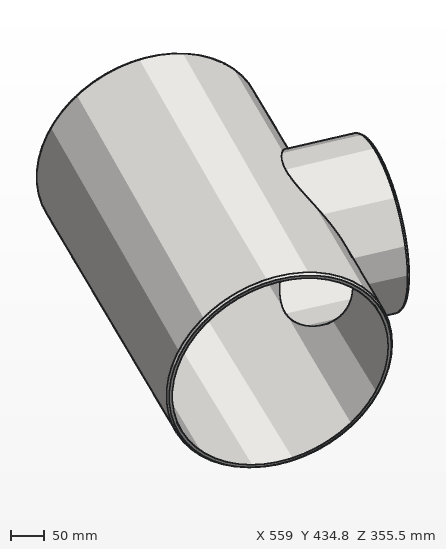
import cadquery as cq

run_length = 559.0
run_diameter = 355.5
run_wall = 8.0

branch_diameter = 273.0
branch_wall = 8.0
branch_reach = 257.0

bevel_length = 4.0
bevel_depth = 3.0


def bevelled_cylinder(start_plane, diameter, length, bevelled_faces):
    """Solid cylinder with a bevel around the rims of the chosen end faces."""
    cylinder = cq.Workplane(start_plane).circle(diameter / 2).extrude(length)
    return cylinder.faces(bevelled_faces).chamfer(bevel_length, bevel_depth)


run_start = cq.Plane(origin=(-run_length / 2, 0, 0), xDir=(0, 1, 0), normal=(1, 0, 0))
branch_start = cq.Plane(origin=(0, 0, 0), xDir=(1, 0, 0), normal=(0, 1, 0))

run = bevelled_cylinder(run_start, run_diameter, run_length, "<X or >X")
branch = bevelled_cylinder(branch_start, branch_diameter, branch_reach, ">Y")

run_bore = cq.Workplane(run_start).circle(run_diameter / 2 - run_wall).extrude(run_length)
branch_bore = cq.Workplane(branch_start).circle(branch_diameter / 2 - branch_wall).extrude(branch_reach)

result = run.union(branch).cut(run_bore).cut(branch_bore)